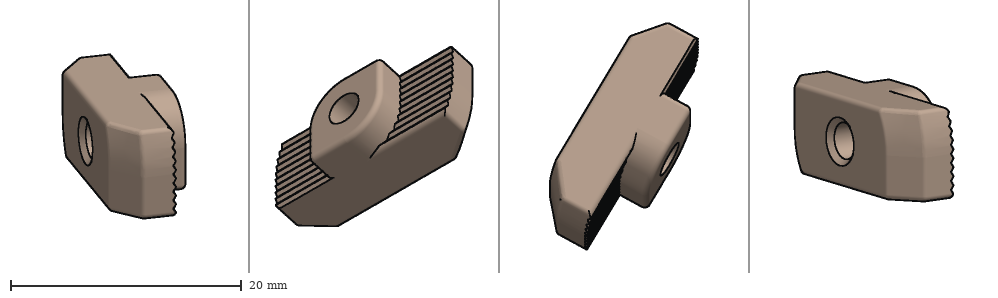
import cadquery as cq
import math

length = 19.5
height = 8
depth = 8
half_height = height / 2
front_y = -depth / 2
back_y = depth / 2
edge_radius = 0.5

shoulder_y = 1.29
end_radius = length / 2
slope_start_y = -1.72
slope_angle = 40
slope_depth = slope_start_y - front_y
front_half_length = end_radius - slope_depth / math.tan(math.radians(slope_angle))

tooth_count = 10
tooth_pitch = height / tooth_count
tooth_depth = 0.23

hole_diameter = 3.24
countersink_diameter = 4.27

tolerance = 0.002


def body_half():
    """+X half: flat end below the axis, end turned about Y above it."""
    outline = [
        (0, front_y),
        (front_half_length, front_y),
        (end_radius, slope_start_y),
        (end_radius, shoulder_y),
        (0, shoulder_y),
    ]
    flat_part = cq.Workplane("XY").polyline(outline).close().extrude(-half_height)
    turned_part = cq.Workplane("XY").polyline(outline).close().revolve(90, (0, 0), (0, -1))
    upper_quarter = cq.Workplane("XY").box(
        length, 2 * depth, half_height, centered=(False, True, False)
    )
    half = flat_part.union(turned_part.intersect(upper_quarter)).cut(serration_cut())

    rounded = []
    for edge in half.edges().vals():
        box = edge.BoundingBox()
        on_middle = box.xmax < tolerance
        on_joint = max(abs(box.zmin), abs(box.zmax)) < tolerance
        on_shoulder = box.ymin > shoulder_y - tooth_depth - tolerance
        on_top = box.zmin > half_height - tolerance
        if not on_middle and not on_joint and (on_top or not on_shoulder):
            rounded.append(edge)
    return half.newObject(rounded).fillet(edge_radius)


def serration_cut():
    """Triangular grooves with a valley at the top and bottom edges."""
    points = []
    for tooth in range(tooth_count):
        valley_z = -half_height + tooth * tooth_pitch
        points.append((shoulder_y - tooth_depth, valley_z))
        points.append((shoulder_y, valley_z + tooth_pitch / 2))
    points.append((shoulder_y - tooth_depth, half_height))
    points.append((back_y, half_height))
    points.append((back_y, -half_height))
    return cq.Workplane("YZ").polyline(points).close().extrude(length, both=True)


def boss():
    """Square boss with two opposite corners turned to a full quarter circle."""
    corner = half_height
    mid = corner * math.sqrt(0.5)
    base_y = shoulder_y - 2 * edge_radius
    block = (
        cq.Workplane("XZ", origin=(0, base_y, 0))
        .moveTo(-corner, corner)
        .lineTo(0, corner)
        .threePointArc((mid, mid), (corner, 0))
        .lineTo(corner, -corner)
        .lineTo(0, -corner)
        .threePointArc((-mid, -mid), (-corner, 0))
        .close()
        .extrude(base_y - back_y)
    )
    square_corners = block.edges("|Y").edges("<(1, 0, -1) or >(1, 0, -1)")
    block = square_corners.fillet(edge_radius)
    return block.faces(">Y").edges().fillet(edge_radius)


def screw_hole():
    """Through hole with a 45 degree countersink in the front face."""
    hole_radius = hole_diameter / 2
    countersink_radius = countersink_diameter / 2
    countersink_depth = countersink_radius - hole_radius
    return (
        cq.Workplane("XY")
        .moveTo(0, front_y)
        .lineTo(countersink_radius, front_y)
        .lineTo(hole_radius, front_y + countersink_depth)
        .lineTo(hole_radius, back_y)
        .lineTo(0, back_y)
        .close()
        .revolve(360, (0, 0), (0, 1))
    )


right_half = body_half()
left_half = right_half.rotate((0, 0, 0), (0, 1, 0), 180)
body = right_half.union(left_half)
result = body.union(boss()).cut(screw_hole())